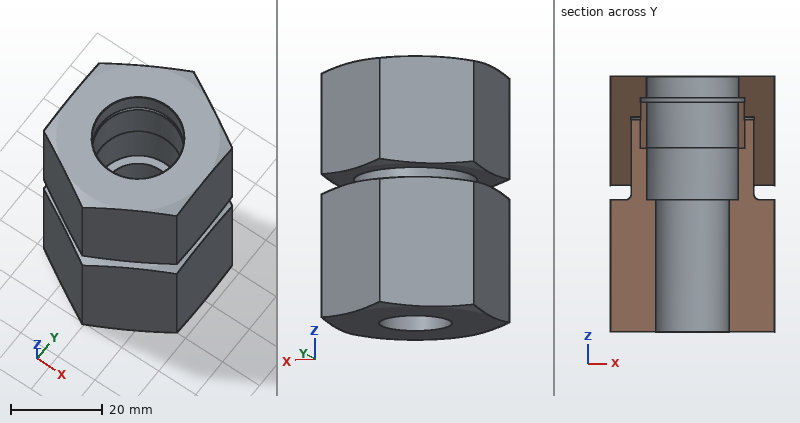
import cadquery as cq
import math

total_height = 56.0
across_corners = 41.55
face_diameter = 35.85
chamfer_angle = 15.0

body_hex_height = 29.0
neck_diameter = 27.0
neck_top = 46.5
neck_fillet = 1.2
through_diameter = 16.0
tube_diameter = 20.0
tube_stop = body_hex_height

ring_diameter = 22.8
ring_bottom = 40.3
ring_top = 50.35

nut_bottom = 32.05
neck_clearance = 0.55
ring_clearance = 0.9
nut_bore_diameter = 20.15
mouth_chamfer = 0.1


def cylinder(diameter, bottom, top):
    return cq.Workplane("XY").workplane(offset=bottom).circle(diameter / 2).extrude(top - bottom)


def chamfered_hexagon(bottom, top):
    """Hexagonal prism with corners on Y and conical chamfers at both ends."""
    prism = (
        cq.Workplane("XY").workplane(offset=bottom)
        .polygon(6, across_corners).extrude(top - bottom)
        .rotate((0, 0, 0), (0, 0, 1), 30)
    )
    corner_radius = across_corners / 2
    face_radius = face_diameter / 2
    drop = (corner_radius - face_radius) * math.tan(math.radians(chamfer_angle))
    envelope = (
        cq.Workplane("XZ")
        .moveTo(0, bottom)
        .lineTo(face_radius, bottom)
        .lineTo(corner_radius, bottom + drop)
        .lineTo(corner_radius, top - drop)
        .lineTo(face_radius, top)
        .lineTo(0, top)
        .close()
        .revolve(360, (0, 0), (0, 1))
    )
    return prism.intersect(envelope)


def neck():
    """Round neck that flares into the hexagon face through a fillet."""
    radius = neck_diameter / 2
    return (
        cq.Workplane("XZ")
        .moveTo(0, body_hex_height)
        .lineTo(radius + neck_fillet, body_hex_height)
        .radiusArc((radius, body_hex_height + neck_fillet), neck_fillet)
        .lineTo(radius, neck_top)
        .lineTo(0, neck_top)
        .close()
        .revolve(360, (0, 0), (0, 1))
    )


def make_body():
    body = chamfered_hexagon(0, body_hex_height).union(neck())
    body = body.cut(cylinder(through_diameter, 0, neck_top))
    body = body.cut(cylinder(tube_diameter, tube_stop, neck_top))
    return body.cut(cylinder(ring_diameter, ring_bottom, neck_top))


def make_ring():
    return cylinder(ring_diameter, ring_bottom, ring_top).cut(cylinder(tube_diameter, ring_bottom, ring_top))


def make_nut():
    nut = chamfered_hexagon(nut_bottom, total_height)
    nut = nut.cut(cylinder(neck_diameter, nut_bottom, neck_top + neck_clearance))
    nut = nut.cut(cylinder(ring_diameter, nut_bottom, ring_top + ring_clearance))
    nut = nut.cut(cylinder(nut_bore_diameter, nut_bottom, total_height))
    mouth_edge = cq.selectors.RadiusNthSelector(0)
    return nut.faces(">Z").edges(mouth_edge).chamfer(mouth_chamfer)


body = make_body()
ring = make_ring()
nut = make_nut()

result = cq.Compound.makeCompound([body.val(), ring.val(), nut.val()])